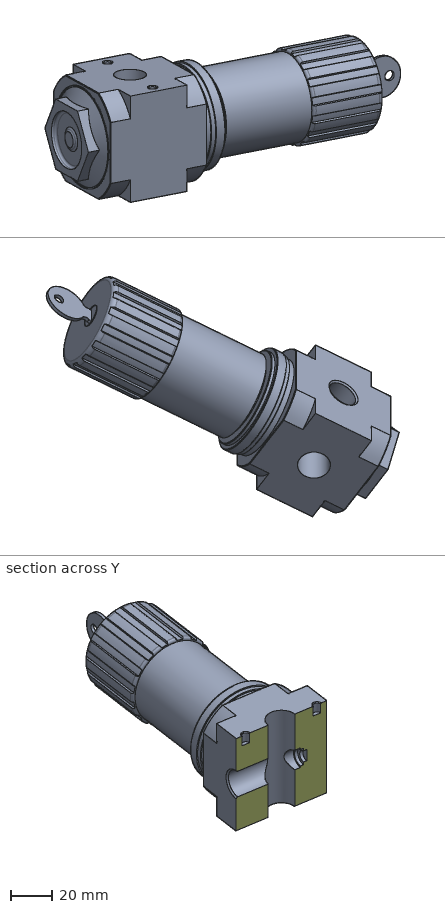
import cadquery as cq
import math


block_side = 55.0
block_front = 8.5
block_back = 63.3
block_mid = (block_front + block_back) / 2
cross_half_length = 16.0
corner_radius = 31.7
edge_chamfer = 0.4

hex_flats = 36.2
hex_corners = hex_flats / math.cos(math.pi / 6)
cone_radius = 25.0
cone_tip_radius = 15.3
cone_slope = math.tan(math.radians(30))
seat_groove_outer_radius = 25.7
seat_groove_depth = 0.5
pocket_radius = 14.5
pocket_floor_fillet = 1.3
pocket_depth = 2.7
stud_base_radius = 6.1
stud_shoulder_radius = 5.0
stud_top_radius = 4.0
stud_height = 1.3

bore_diameter = 16.0
side_port_diameter = 14.9
side_port_mouth = 16.5
inner_port_steps = [(11.3, 11.5), (9.5, 13.3), (6.3, 15.3)]
screw_diameter = 4.2
screw_mouth = 5.1
screw_mouth_angle = 90
screw_depth = 5.7
screw_offset = 21.5

collar_small_radius = 26.0
collar_mid_radius = 26.7
collar_large_radius = block_side / 2
flange_radius = 25.2
neck_radius = 20.0
collar_mid_start = 66.4
collar_large_start = 68.7
flange_start = 73.8
neck_start = 75.7
collar_chamfer = 0.4

sleeve_start = 77.2
sleeve_radius = 22.7
grip_start = 125.5
grip_end = 165.5
grip_radius = 24.5
grip_front_fillet = 1.5
grip_back_fillet = 2.7
groove_count = 16
groove_floor_width = 3.6
groove_mouth_width = 4.5
groove_floor_radius = 23.5
lock_offset = -3.2
lock_diameter = 11.3
lock_height = 0.4

key_end = 190.7
key_start = grip_end + lock_height
key_thickness = 1.7
key_head_radius = 10.7
key_head_y = key_end - key_head_radius
key_hole_diameter = 5.1
key_hole_y = 184.5
key_upper_half = 3.6
key_lower_half = 4.4
key_neck_radius = 2.3


def disc(radius, start, end, x=0):
    """Cylinder along Y."""
    return cq.Workplane("XZ", origin=(x, start, 0)).circle(radius).extrude(start - end)


def revolved(points):
    """Solid of revolution about Y from (radius, y) points."""
    return cq.Workplane("XY").polyline(points).close().revolve(360, (0, 0), (0, 1))


def make_block():
    length = block_back - block_front
    square = cq.Workplane("XY").box(block_side, length, block_side)
    rounded = square.intersect(disc(corner_radius, -length / 2, length / 2))
    rounded = rounded.faces("<Y or >Y").chamfer(edge_chamfer)
    cross = cq.Workplane("XY").box(block_side, 2 * cross_half_length, block_side)
    return rounded.union(cross).translate((0, block_mid, 0))


def make_cap():
    cone_tip_y = block_front - (cone_radius - cone_tip_radius) * cone_slope
    cone = revolved([
        (0, block_mid), (cone_radius, block_mid), (cone_radius, block_front),
        (cone_tip_radius, cone_tip_y), (0, cone_tip_y),
    ])
    hexagon = cq.Workplane("XZ").polygon(6, hex_corners).extrude(-block_front)
    stud_top_y = pocket_depth - stud_height
    pocket = disc(pocket_radius, 0, pocket_depth).faces(">Y").edges().fillet(pocket_floor_fillet)
    stud = revolved([
        (0, pocket_depth), (stud_base_radius, pocket_depth),
        (stud_shoulder_radius, pocket_depth - stud_height / 2),
        (stud_top_radius, stud_top_y), (0, stud_top_y),
    ])
    return cone.union(hexagon).cut(pocket).union(stud)


def make_seat_groove():
    groove_end = block_front + seat_groove_depth
    outer = disc(seat_groove_outer_radius, block_front, groove_end)
    return outer.cut(disc(cone_radius, block_front, groove_end))


def make_collar():
    small = disc(collar_small_radius, block_back, collar_mid_start)
    mid = disc(collar_mid_radius, collar_mid_start, collar_large_start)
    large = disc(collar_large_radius, collar_large_start, flange_start)
    large = large.faces(">Y").chamfer(collar_chamfer)
    flange = disc(flange_radius, flange_start, neck_start)
    flange = flange.faces(">Y").chamfer(collar_chamfer)
    neck = disc(neck_radius, neck_start, sleeve_start)
    return small.union(mid).union(large).union(flange).union(neck)


def cut_ports(body):
    half = block_side / 2
    bore = cq.Workplane("XY", origin=(0, block_mid, -half)).circle(bore_diameter / 2).extrude(block_side)
    body = body.cut(bore)

    side = cq.Workplane("YZ", origin=(-half, block_mid, 0))
    port = side.circle(side_port_diameter / 2).extrude(half)
    mouth_depth = (side_port_mouth - side_port_diameter) / 2
    mouth = cq.Workplane("XY").add(cq.Solid.makeCone(
        side_port_mouth / 2, side_port_diameter / 2, mouth_depth,
        cq.Vector(-half, block_mid, 0), cq.Vector(1, 0, 0),
    ))
    body = body.cut(port).cut(mouth)

    for diameter, depth in inner_port_steps:
        step = cq.Workplane("YZ", origin=(0, block_mid, 0)).circle(diameter / 2).extrude(depth)
        body = body.cut(step)
    return body


def cut_screw_holes(body):
    return (
        body.faces(">Z").workplane(origin=(0, block_mid, 0))
        .pushPoints([(-screw_offset, 0), (screw_offset, 0)])
        .cskHole(screw_diameter, screw_mouth, screw_mouth_angle, screw_depth)
    )


def make_housing():
    body = make_block().cut(make_seat_groove()).union(make_cap()).union(make_collar())
    return cut_screw_holes(cut_ports(body))


def make_grip_grooves():
    """Drafted slots between the ribs, all with one round floor."""
    depth = grip_radius - groove_floor_radius
    draft = (groove_mouth_width - groove_floor_width) / 2
    inner_half = groove_floor_width / 2 - draft
    outer_half = groove_mouth_width / 2 + draft
    inner_z = groove_floor_radius - depth
    outer_z = grip_radius + depth
    slot = (
        cq.Workplane("XZ", origin=(0, grip_start, 0))
        .polyline([
            (-inner_half, inner_z), (inner_half, inner_z),
            (outer_half, outer_z), (-outer_half, outer_z),
        ])
        .close()
        .extrude(grip_start - grip_end)
    )
    pitch = 360 / groove_count
    grooves = cq.Workplane("XY")
    for index in range(groove_count):
        grooves = grooves.add(slot.rotate((0, 0, 0), (0, 1, 0), (index + 0.5) * pitch))
    return grooves.combine().cut(disc(groove_floor_radius, grip_start, grip_end))


def make_knob():
    sleeve = disc(sleeve_radius, sleeve_start, grip_start)
    grip = disc(grip_radius, grip_start, grip_end)
    grip = grip.faces("<Y").edges().fillet(grip_front_fillet)
    grip = grip.faces(">Y").edges().fillet(grip_back_fillet)
    grip = grip.cut(make_grip_grooves())
    lock_barrel = disc(lock_diameter / 2, grip_end, key_start, lock_offset)
    return grip.union(sleeve).union(lock_barrel)


def neck_arc_center(half_width):
    """Centre (y, z) of the neck arc that is tangent to the key head at this half width."""
    z = half_width + key_neck_radius
    reach = key_head_radius + key_neck_radius
    return key_head_y - math.sqrt(reach ** 2 - z ** 2), z


def make_key():
    upper_y, upper_z = neck_arc_center(key_upper_half)
    lower_y, lower_z = neck_arc_center(key_lower_half)
    head_share = key_head_radius / (key_head_radius + key_neck_radius)
    upper_joint = (key_head_y + (upper_y - key_head_y) * head_share, upper_z * head_share)
    lower_joint = (key_head_y + (lower_y - key_head_y) * head_share, -lower_z * head_share)

    joint_angle = math.atan2(upper_joint[1] - upper_z, upper_joint[0] - upper_y)
    upper_angle = (joint_angle - math.pi / 2) / 2
    upper_middle = (
        upper_y + key_neck_radius * math.cos(upper_angle),
        upper_z + key_neck_radius * math.sin(upper_angle),
    )
    diagonal = key_neck_radius * math.sqrt(0.5)
    flare = (lower_y - diagonal, diagonal - lower_z)

    plate = (
        cq.Workplane("YZ", origin=(lock_offset - key_thickness / 2, 0, 0))
        .moveTo(key_start, key_upper_half)
        .lineTo(upper_y, key_upper_half)
        .threePointArc(upper_middle, upper_joint)
        .threePointArc((key_end, 0), lower_joint)
        .threePointArc((lower_y, -key_lower_half), flare)
        .lineTo(key_start, -lock_diameter / 2)
        .close()
        .extrude(key_thickness)
    )
    hole = (
        cq.Workplane("YZ", origin=(lock_offset - key_thickness / 2, key_hole_y, 0))
        .circle(key_hole_diameter / 2)
        .extrude(key_thickness)
    )
    return plate.cut(hole)


housing = make_housing()
knob = make_knob()
key = make_key()

result = cq.Compound.makeCompound([housing.val(), knob.val(), key.val()])